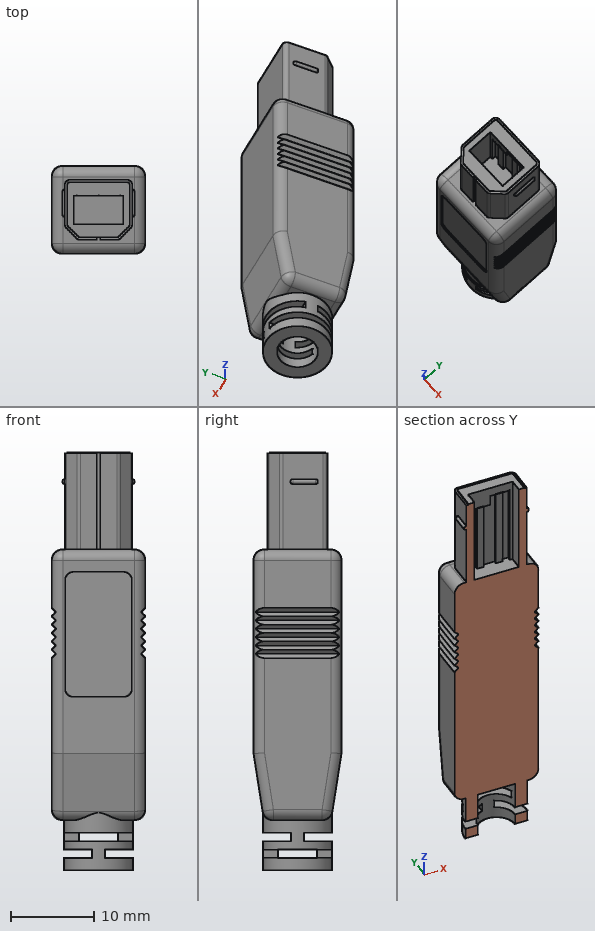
import cadquery as cq


TOTAL_HEIGHT = 50.35
BODY_WIDTH = 11.3
BODY_DEPTH = 10.65

BODY_BOTTOM = 6.05
BODY_TOP = 38.7
TAPER_START = 14.1
TAPER_INSET = 1.25
BODY_FILLET = 1.3

GRIP_COUNT = 6
GRIP_PITCH = 1.0
GRIP_DEPTH = GRIP_PITCH / 2
GRIP_TOP = 31.65

LABEL_WIDTH = 8.05
LABEL_BOTTOM = 20.9
LABEL_TOP = 35.95
LABEL_RADIUS = 1.0
LABEL_DEPTH = 0.2

SHELL_WIDTH = 8.1
SHELL_DEPTH = 7.25
SHELL_THICKNESS = 0.3
SHELL_CHAMFER = 1.6
SHELL_BEND_RADIUS = 0.6
SEAM_WIDTH = 0.45

NUB_RADIUS = 0.3
NUB_HEIGHT = 46.85
NUB_CENTER_Y = 0.8
NUB_LENGTH = 3.3

INSERT_STEP = 0.1
SOCKET_WIDTH = 5.95
SOCKET_DEPTH = 3.4
POCKET_WIDTH = 2.6
POCKET_DEPTH = 0.5
LEFT_POCKET_TOP = TOTAL_HEIGHT - 2.5
RIGHT_POCKET_TOP = TOTAL_HEIGHT - 1.2
CONTACT_SPACING = 2.5
CONTACT_WIDTH = 0.9
CONTACT_RECESS = 0.1

RELIEF_RADIUS = 4.2
RELIEF_BORE_RADIUS = 2.45
RELIEF_TOP = BODY_BOTTOM + 1.0
SLOT_HEIGHT = 1.0
WEB_WIDTH = 1.6
LOWER_SLOT_BOTTOM = 1.5
UPPER_SLOT_BOTTOM = 3.55


def box_between(x_min, x_max, y_min, y_max, z_min, z_max):
    """Box given by its limits along each axis."""
    return cq.Workplane("XY").box(x_max - x_min, y_max - y_min, z_max - z_min, centered=False).translate(
        (x_min, y_min, z_min)
    )


def make_body():
    """Rounded block whose front and back lean inward near the bottom."""
    half_depth = BODY_DEPTH / 2
    bottom_half = half_depth - TAPER_INSET
    outline = [
        (-bottom_half, BODY_BOTTOM),
        (bottom_half, BODY_BOTTOM),
        (half_depth, TAPER_START),
        (half_depth, BODY_TOP),
        (-half_depth, BODY_TOP),
        (-half_depth, TAPER_START),
    ]
    block = cq.Workplane("YZ").polyline(outline).close().extrude(BODY_WIDTH / 2, both=True)
    rounded_edges = block.edges().filter(lambda edge: abs(edge.Center().z - TAPER_START) > BODY_FILLET)
    return rounded_edges.fillet(BODY_FILLET)


def make_grip_groove(side, middle_z):
    """One V-groove running front to back along a side."""
    face_x = side * BODY_WIDTH / 2
    outline = [
        (face_x, middle_z + GRIP_PITCH / 2),
        (face_x - side * GRIP_DEPTH, middle_z),
        (face_x, middle_z - GRIP_PITCH / 2),
    ]
    return cq.Workplane("XZ").polyline(outline).close().extrude(BODY_DEPTH / 2, both=True)


def make_label_recess():
    recess = box_between(
        -LABEL_WIDTH / 2, LABEL_WIDTH / 2,
        -BODY_DEPTH / 2, -BODY_DEPTH / 2 + LABEL_DEPTH,
        LABEL_BOTTOM, LABEL_TOP,
    )
    return recess.edges("|Y").fillet(LABEL_RADIUS)


def make_shell():
    """Bent shell filled by the insulator, with a seam down the front."""
    shell_top = TOTAL_HEIGHT - INSERT_STEP
    blank = box_between(
        -SHELL_WIDTH / 2, SHELL_WIDTH / 2, -SHELL_DEPTH / 2, SHELL_DEPTH / 2, BODY_TOP, shell_top
    )
    shell = blank.edges("|Z and <Y").chamfer(SHELL_CHAMFER).edges("|Z").fillet(SHELL_BEND_RADIUS)
    insert_face = (
        shell.faces(">Z").wires().toPending().workplane()
        .offset2D(-SHELL_THICKNESS)
        .extrude(INSERT_STEP, combine=False)
    )
    seam = box_between(
        -SEAM_WIDTH / 2, SEAM_WIDTH / 2,
        -SHELL_DEPTH / 2, -SHELL_DEPTH / 2 + SHELL_THICKNESS,
        BODY_TOP, shell_top,
    )
    return shell.union(insert_face).cut(seam)


def make_nub(side):
    """Bar with round ends, half sunk into one side of the shell."""
    half_core = NUB_LENGTH / 2 - NUB_RADIUS
    bar = cq.Workplane("XZ").circle(NUB_RADIUS).extrude(half_core, both=True)
    for end in (-1, 1):
        bar = bar.union(cq.Workplane("XY").sphere(NUB_RADIUS).translate((0, end * half_core, 0)))
    return bar.translate((side * SHELL_WIDTH / 2, NUB_CENTER_Y, NUB_HEIGHT))


def make_contact_pocket(side, pocket_top):
    """Pocket in the back wall of the socket, around a contact set just behind that wall."""
    back_wall = SOCKET_DEPTH / 2
    pocket_back = back_wall + POCKET_DEPTH
    contact_x = side * CONTACT_SPACING / 2
    pocket_x_min, pocket_x_max = sorted((0, side * POCKET_WIDTH))
    pocket = box_between(pocket_x_min, pocket_x_max, back_wall, pocket_back, BODY_TOP, pocket_top)
    contact = box_between(
        contact_x - CONTACT_WIDTH / 2, contact_x + CONTACT_WIDTH / 2,
        back_wall + CONTACT_RECESS, pocket_back,
        BODY_TOP, pocket_top,
    )
    return pocket.cut(contact)


def make_socket():
    """Rectangular opening down to the body, with its two contact pockets."""
    socket = box_between(
        -SOCKET_WIDTH / 2, SOCKET_WIDTH / 2, -SOCKET_DEPTH / 2, SOCKET_DEPTH / 2, BODY_TOP, TOTAL_HEIGHT
    )
    left_pocket = make_contact_pocket(-1, LEFT_POCKET_TOP)
    right_pocket = make_contact_pocket(1, RIGHT_POCKET_TOP)
    return socket.union(left_pocket).union(right_pocket)


def make_strain_relief():
    """Tube with two levels of slots, the webs of one level a quarter turn from the other."""
    tube = cq.Workplane("XY").circle(RELIEF_RADIUS).extrude(RELIEF_TOP)
    for slot_bottom, web_along_x in ((LOWER_SLOT_BOTTOM, False), (UPPER_SLOT_BOTTOM, True)):
        web_size = (3 * RELIEF_RADIUS, WEB_WIDTH) if web_along_x else (WEB_WIDTH, 3 * RELIEF_RADIUS)
        level = cq.Workplane("XY").workplane(offset=slot_bottom)
        slot = level.circle(2 * RELIEF_RADIUS).extrude(SLOT_HEIGHT)
        web = level.rect(*web_size).extrude(SLOT_HEIGHT)
        tube = tube.cut(slot.cut(web))
    return tube


body = make_body().cut(make_label_recess())
connector = make_shell().cut(make_socket())
for side in (-1, 1):
    for index in range(GRIP_COUNT):
        body = body.cut(make_grip_groove(side, GRIP_TOP - (index + 0.5) * GRIP_PITCH))
    connector = connector.union(make_nub(side))

cable_bore = cq.Workplane("XY").circle(RELIEF_BORE_RADIUS).extrude(BODY_BOTTOM)
result = body.union(connector).union(make_strain_relief()).cut(cable_bore)